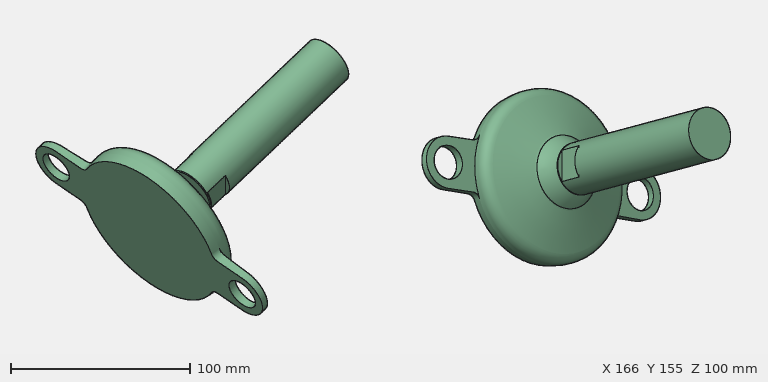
import cadquery as cq
import math


sole_radius = 49.1
rim_radius = 50.0
rim_height = 5.8
shoulder_start = 9.3
shoulder_radius = 7.3
cone_slope = math.radians(20)
cone_top_radius = 21.9

dome_radius = 25.7
dome_top = 35.9
dome_foot_radius = 20.9

stud_radius = 15.0
stud_bottom = 35.2
stud_top = 155.0
stud_chamfer = 0.5
flat_half_width = 12.0
flat_bottom = 36.4
flat_top = 51.8

overall_length = 166.0
lug_radius = 15.0
lug_center = overall_length / 2 - lug_radius
lug_hole_radius = 9.6
lug_root_fillet = 5.0
lug_tip_height = 4.3


def make_plate_and_dome():
    shoulder_center = rim_radius - shoulder_radius

    def shoulder_point(angle):
        return (
            shoulder_center + shoulder_radius * math.cos(angle),
            shoulder_start + shoulder_radius * math.sin(angle),
        )

    def dome_height(radius):
        return dome_top - dome_radius + math.sqrt(dome_radius**2 - radius**2)

    shoulder_end_angle = math.pi / 2 - cone_slope
    cone_bottom = shoulder_point(shoulder_end_angle)
    cone_rise = (cone_bottom[0] - cone_top_radius) * math.tan(cone_slope)
    dome_middle_radius = dome_foot_radius / 2
    return (
        cq.Workplane("XY")
        .lineTo(sole_radius, 0)
        .lineTo(rim_radius, rim_height)
        .lineTo(rim_radius, shoulder_start)
        .threePointArc(shoulder_point(shoulder_end_angle / 2), cone_bottom)
        .lineTo(cone_top_radius, cone_bottom[1] + cone_rise)
        .lineTo(dome_foot_radius, dome_height(dome_foot_radius))
        .threePointArc((dome_middle_radius, dome_height(dome_middle_radius)), (0, dome_top))
        .close()
        .revolve(360, (0, 0, 0), (0, 1, 0))
    )


def make_stud():
    stud = (
        cq.Workplane("XZ", origin=(0, stud_bottom, 0))
        .circle(stud_radius)
        .extrude(stud_bottom - stud_top)
        .faces("<Y")
        .chamfer(stud_chamfer)
    )
    flat_depth = stud_radius - flat_half_width
    for side in (-1, 1):
        flat_cut = cq.Workplane("XY").box(flat_depth, flat_top - flat_bottom, 2 * stud_radius)
        flat_x = side * (flat_half_width + flat_depth / 2)
        stud = stud.cut(flat_cut.translate((flat_x, (flat_bottom + flat_top) / 2, 0)))
    return stud


def make_lugs():
    disc = (
        cq.Workplane("XY")
        .lineTo(sole_radius, 0)
        .lineTo(rim_radius, rim_height)
        .lineTo(0, rim_height)
        .close()
        .revolve(360, (0, 0, 0), (0, 1, 0))
    )
    strip = cq.Workplane("XZ").slot2D(overall_length, 2 * lug_radius).extrude(-rim_height)
    lugs = disc.union(strip)
    root_x = math.sqrt(((sole_radius + rim_radius) / 2) ** 2 - lug_radius**2)
    for x in (-root_x, root_x):
        for z in (-lug_radius, lug_radius):
            root_edge = cq.selectors.NearestToPointSelector((x, rim_height / 2, z))
            lugs = lugs.edges(root_edge).fillet(lug_root_fillet)

    half_length = overall_length / 2
    envelope = (
        cq.Workplane("XY")
        .polyline([
            (-half_length, 0),
            (half_length, 0),
            (half_length, lug_tip_height),
            (rim_radius, rim_height),
            (-rim_radius, rim_height),
            (-half_length, lug_tip_height),
        ])
        .close()
        .extrude(rim_radius, both=True)
    )
    holes = (
        cq.Workplane("XZ")
        .pushPoints([(-lug_center, 0), (lug_center, 0)])
        .circle(lug_hole_radius)
        .extrude(-rim_height)
    )
    return lugs.intersect(envelope).cut(holes)


result = make_plate_and_dome().union(make_stud()).union(make_lugs())